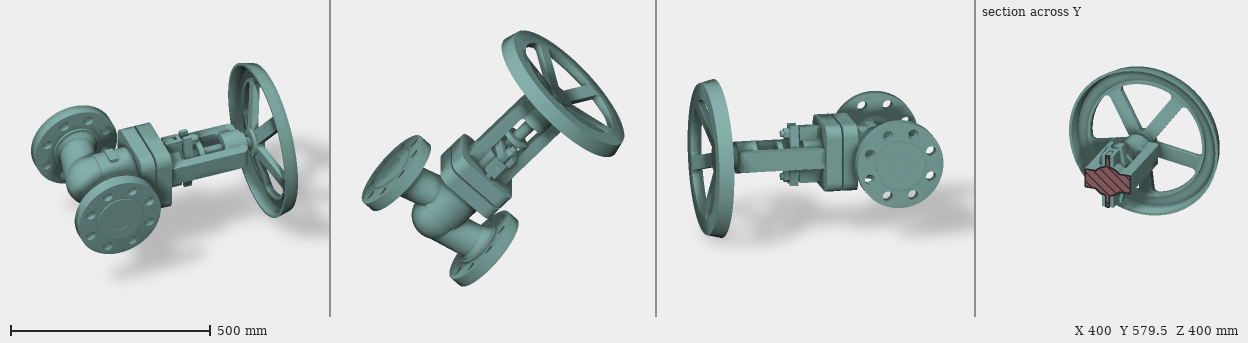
import cadquery as cq
import math


FACE_TO_FACE = 340.0
FLANGE_RADIUS = 110.0
FLANGE_THICKNESS = 34.0
RAISED_FACE_RADIUS = 61.0
RAISED_FACE_HEIGHT = 3.0
PORT_RADIUS = 33.0
PORT_RECESS = 1.0
BOLT_CIRCLE_RADIUS = 85.0
BOLT_HOLE_DIAMETER = 26.0
BOLT_HOLE_COUNT = 8
COLLAR_LENGTH = 6.0
NECK_LARGE_RADIUS = 54.0
NECK_SMALL_RADIUS = 34.0
NECK_LENGTH = 30.0

FLANGE_BACK = FACE_TO_FACE / 2 - FLANGE_THICKNESS

PIPE_RADIUS = 45.0
INLET_ANGLE = 13.0
OUTLET_ANGLE = 16.5
PIPE_START = 12.0
INLET_PIPE_LENGTH = 118.0
OUTLET_PIPE_LENGTH = 118.0

CHAMBER_RADIUS = 63.5
BOTTOM_RADIUS = 60.5
SPHERE_CENTER_Y = -16.5
CHAMBER_BOTTOM_Y = 1.5
NAMEPLATE_WIDTH = 43.0
NAMEPLATE_HEIGHT = 21.0
NAMEPLATE_Y = 41.5
NAMEPLATE_TOP_Z = 69.5

SQUARE_SIDE = 170.0
SQUARE_CORNER_RADIUS = 28.5
BODY_SQUARE_BOTTOM_Y = 91.5
BODY_SQUARE_TOP_Y = 127.5
JOINT_Y = 131.0
BONNET_SQUARE_BOTTOM_Y = 133.0
BONNET_SQUARE_TOP_Y = 171.5
BODY_SEAT_RADIUS = 50.0
BONNET_SPIGOT_RADIUS = 53.5

YOKE_WIDTH = 122.0
YOKE_THICKNESS = 50.0
YOKE_TOP_Y = 388.0
YOKE_TOP_RADIUS = 14.0
YOKE_FOOT_RADIUS = 5.0
WINDOW_WIDTH = 70.5
WINDOW_BOTTOM_Y = 217.5
WINDOW_TOP_Y = 338.0
WINDOW_CORNER_RADIUS = 10.0
BOSS_RADIUS = 40.0
BUSHING_RADIUS = 31.3
BUSHING_TOP_Y = 398.0

STEM_RADIUS = 15.3
STEM_COLLAR_RADIUS = 35.0
STEM_COLLAR_BOTTOM_Y = 270.5
STEM_COLLAR_TOP_Y = 282.5

GLAND_SLEEVE_RADIUS = 23.0
GLAND_PLATE_BOTTOM_Y = 230.5
GLAND_PLATE_TOP_Y = 251.0
GLAND_PLATE_HALF_LENGTH = 77.0
GLAND_PLATE_HALF_WIDTH = 31.7
GLAND_PLATE_END_HALF_WIDTH = 18.7
GLAND_SLOT_WIDTH = 19.0
EYE_BOLT_Z = 55.3
EYE_RADIUS = 16.0
EYE_WIDTH = 10.0
EYE_CENTER_Y = 201.0
FORK_WIDTH = 30.6
FORK_SLOT_WIDTH = 13.6
FORK_BOTTOM_Y = 181.5
FORK_TOP_Y = 225.0
HINGE_PIN_RADIUS = 6.0
BOLT_RADIUS = 8.4
BOLT_TOP_Y = 272.5
NUT_ACROSS_FLATS = 25.0
NUT_HEIGHT = 13.5

WHEEL_RADIUS = 200.0
WHEEL_FRONT_Y = 433.5
WHEEL_WIDTH = 36.0
RIM_TAPER = 9.0
RIM_WALL = 7.0
GROOVE_DEPTH = 29.5
LIP_OUTER_RADIUS = 157.0
LIP_INNER_RADIUS = 150.0
HUB_RADIUS = 35.0
HUB_FRONT_Y = 414.0
HUB_LENGTH = 28.0
SPOKE_COUNT = 5
SPOKE_WIDTH = 35.0
SPOKE_ROOT_RADIUS = 26.0
SPOKE_HUB_Y = 422.0
SPOKE_SLOPE = 0.27
SPOKE_CORNER_RADIUS = 11.5
SPOKE_LIP_RADIUS = 147.0

WHEEL_BACK_Y = WHEEL_FRONT_Y + WHEEL_WIDTH


def spoke_front_y(radius):
    """Y of the sloping front face of a spoke at a distance from the stem axis."""
    return SPOKE_HUB_Y + SPOKE_SLOPE * (radius - HUB_RADIUS)


def disc(radius, bottom_y, top_y, z=0.0):
    """Cylinder along Y between two heights."""
    axis = cq.Vector(0, 1, 0)
    return cq.Workplane(cq.Solid.makeCylinder(radius, top_y - bottom_y, cq.Vector(0, bottom_y, z), axis))


def block(width, bottom_y, top_y, depth, z=0.0):
    """Box centred on X = 0 between two heights along Y."""
    center = (0, (bottom_y + top_y) / 2, z)
    return cq.Workplane("XY").box(width, top_y - bottom_y, depth).translate(center)


def square_flange(bottom_y, top_y):
    """Square joint flange with rounded corners."""
    return block(SQUARE_SIDE, bottom_y, top_y, SQUARE_SIDE).edges("|Y").fillet(SQUARE_CORNER_RADIUS)


def pipe_flange():
    """Flange at the +X end with raised face, shallow port recess, bolt holes and tapered neck."""
    face = FACE_TO_FACE / 2
    shoulder = face - RAISED_FACE_HEIGHT
    collar_end = FLANGE_BACK - COLLAR_LENGTH
    profile = [
        (collar_end - NECK_LENGTH, 0),
        (collar_end - NECK_LENGTH, NECK_SMALL_RADIUS),
        (collar_end, NECK_LARGE_RADIUS),
        (collar_end, RAISED_FACE_RADIUS),
        (FLANGE_BACK, RAISED_FACE_RADIUS),
        (FLANGE_BACK, FLANGE_RADIUS),
        (shoulder, FLANGE_RADIUS),
        (shoulder, RAISED_FACE_RADIUS),
        (face, RAISED_FACE_RADIUS),
        (face, PORT_RADIUS),
        (face - PORT_RECESS, PORT_RADIUS),
        (face - PORT_RECESS, 0),
    ]
    flange = cq.Workplane("XY").polyline(profile).close().revolve(360, (0, 0, 0), (1, 0, 0))
    first_hole_angle = 180.0 / BOLT_HOLE_COUNT
    holes = (
        cq.Workplane("YZ", origin=(FLANGE_BACK, 0, 0))
        .polarArray(BOLT_CIRCLE_RADIUS, first_hole_angle, 360, BOLT_HOLE_COUNT)
        .circle(BOLT_HOLE_DIAMETER / 2)
        .extrude(FLANGE_THICKNESS)
    )
    return flange.cut(holes)


def slanted_pipe(side, angle, length):
    """Pipe from the back of a flange (side -1 or +1 along X) into the chamber, at an angle to X."""
    slope = math.radians(angle)
    direction = cq.Vector(-side * math.cos(slope), side * math.sin(slope), 0)
    start = cq.Vector(side * FLANGE_BACK, 0, 0) + direction * PIPE_START
    return cq.Workplane(cq.Solid.makeCylinder(PIPE_RADIUS, length, start, direction))


def chamber():
    """Upright valve chamber closed by a spherical bottom."""
    bottom = cq.Workplane("XY").sphere(BOTTOM_RADIUS).translate((0, SPHERE_CENTER_Y, 0))
    lower = disc(BOTTOM_RADIUS, SPHERE_CENTER_Y, CHAMBER_BOTTOM_Y)
    upper = disc(CHAMBER_RADIUS, CHAMBER_BOTTOM_Y, BODY_SQUARE_BOTTOM_Y)
    return upper.union(lower).union(bottom)


def nameplate():
    """Rectangular plate standing on the +Z side of the chamber."""
    plate_bottom = NAMEPLATE_Y - NAMEPLATE_HEIGHT / 2
    plate_top = NAMEPLATE_Y + NAMEPLATE_HEIGHT / 2
    return block(NAMEPLATE_WIDTH, plate_bottom, plate_top, NAMEPLATE_TOP_Z, NAMEPLATE_TOP_Z / 2)


def make_valve_body():
    """Lower body: chamber, slanted pipes, pipe flanges and square joint flange."""
    outlet_flange = pipe_flange()
    inlet_flange = outlet_flange.mirror("YZ")
    return (
        chamber()
        .union(slanted_pipe(-1, INLET_ANGLE, INLET_PIPE_LENGTH))
        .union(slanted_pipe(1, OUTLET_ANGLE, OUTLET_PIPE_LENGTH))
        .union(inlet_flange)
        .union(outlet_flange)
        .union(nameplate())
        .union(square_flange(BODY_SQUARE_BOTTOM_Y, BODY_SQUARE_TOP_Y))
        .union(disc(BODY_SEAT_RADIUS, BODY_SQUARE_TOP_Y, JOINT_Y))
    )


def yoke():
    """Flat yoke with a window, cylindrical bosses at both ends, a bushing and the bonnet flange."""
    plate = block(YOKE_WIDTH, BONNET_SQUARE_TOP_Y, YOKE_TOP_Y, YOKE_THICKNESS)
    plate = plate.faces(">Y").edges("|Z").fillet(YOKE_TOP_RADIUS)
    window = block(WINDOW_WIDTH, WINDOW_BOTTOM_Y, WINDOW_TOP_Y, YOKE_THICKNESS)
    plate = plate.cut(window.edges("|Z").fillet(WINDOW_CORNER_RADIUS))
    flange = square_flange(BONNET_SQUARE_BOTTOM_Y, BONNET_SQUARE_TOP_Y)
    return (
        plate.union(flange)
        .union(yoke_feet())
        .union(disc(BOSS_RADIUS, BONNET_SQUARE_TOP_Y, WINDOW_BOTTOM_Y))
        .union(disc(BOSS_RADIUS, WINDOW_TOP_Y, YOKE_TOP_Y))
        .union(disc(BUSHING_RADIUS, YOKE_TOP_Y, BUSHING_TOP_Y))
        .union(disc(BONNET_SPIGOT_RADIUS, JOINT_Y, BONNET_SQUARE_BOTTOM_Y))
    )


def yoke_feet():
    """Concave rounds where the outer sides of the yoke run into the bonnet flange."""
    side = YOKE_WIDTH / 2
    round_middle = YOKE_FOOT_RADIUS * (1 - math.sqrt(0.5))
    foot = (
        cq.Workplane("XY", origin=(0, 0, -YOKE_THICKNESS / 2))
        .moveTo(side, BONNET_SQUARE_TOP_Y)
        .lineTo(side + YOKE_FOOT_RADIUS, BONNET_SQUARE_TOP_Y)
        .threePointArc(
            (side + round_middle, BONNET_SQUARE_TOP_Y + round_middle),
            (side, BONNET_SQUARE_TOP_Y + YOKE_FOOT_RADIUS),
        )
        .close()
        .extrude(YOKE_THICKNESS)
    )
    return foot.union(foot.mirror("YZ"))


def stem():
    """Stem with its collar, from the gland up into the handwheel hub."""
    shaft = disc(STEM_RADIUS, WINDOW_BOTTOM_Y, HUB_FRONT_Y)
    return shaft.union(disc(STEM_COLLAR_RADIUS, STEM_COLLAR_BOTTOM_Y, STEM_COLLAR_TOP_Y))


def gland():
    """Gland sleeve and its plate, which narrows toward both ends and has an open slot for each bolt."""
    outline = [
        (GLAND_PLATE_HALF_WIDTH, 0),
        (GLAND_PLATE_END_HALF_WIDTH, GLAND_PLATE_HALF_LENGTH),
        (-GLAND_PLATE_END_HALF_WIDTH, GLAND_PLATE_HALF_LENGTH),
        (-GLAND_PLATE_HALF_WIDTH, 0),
        (-GLAND_PLATE_END_HALF_WIDTH, -GLAND_PLATE_HALF_LENGTH),
        (GLAND_PLATE_END_HALF_WIDTH, -GLAND_PLATE_HALF_LENGTH),
    ]
    plate = (
        cq.Workplane("XZ", origin=(0, GLAND_PLATE_TOP_Y, 0))
        .polyline(outline)
        .close()
        .extrude(GLAND_PLATE_TOP_Y - GLAND_PLATE_BOTTOM_Y)
    )
    for side in (-1, 1):
        slot_middle = side * (EYE_BOLT_Z + GLAND_PLATE_HALF_LENGTH) / 2
        slot_depth = GLAND_PLATE_HALF_LENGTH - EYE_BOLT_Z
        opening = block(GLAND_SLOT_WIDTH, GLAND_PLATE_BOTTOM_Y, GLAND_PLATE_TOP_Y, slot_depth, slot_middle)
        slot_round = disc(
            GLAND_SLOT_WIDTH / 2, GLAND_PLATE_BOTTOM_Y, GLAND_PLATE_TOP_Y, z=side * EYE_BOLT_Z
        )
        plate = plate.cut(opening).cut(slot_round)
    return plate.union(disc(GLAND_SLEEVE_RADIUS, WINDOW_BOTTOM_Y, GLAND_PLATE_BOTTOM_Y))


def eye_bolt(side):
    """Fork hinged on an eye lug, with bolt and hexagon nut, on the side -1 or +1 along Z."""
    z = side * EYE_BOLT_Z
    lug = block(EYE_WIDTH, BONNET_SQUARE_TOP_Y, EYE_CENTER_Y, 2 * EYE_RADIUS, z)
    hinge = cq.Workplane("YZ", origin=(0, EYE_CENTER_Y, z))
    eye = hinge.circle(EYE_RADIUS).extrude(EYE_WIDTH / 2, both=True)
    pin = hinge.circle(HINGE_PIN_RADIUS).extrude(FORK_SLOT_WIDTH / 2, both=True)
    slot_top = EYE_CENTER_Y + EYE_RADIUS
    fork = block(FORK_WIDTH, FORK_BOTTOM_Y, FORK_TOP_Y, 2 * EYE_RADIUS, z)
    fork = fork.cut(block(FORK_SLOT_WIDTH, FORK_BOTTOM_Y, slot_top, 2 * EYE_RADIUS, z))
    bolt = disc(BOLT_RADIUS, FORK_TOP_Y, BOLT_TOP_Y, z=z)
    across_corners = NUT_ACROSS_FLATS / math.cos(math.radians(30))
    nut = (
        cq.Workplane("XZ", origin=(0, GLAND_PLATE_TOP_Y, z))
        .transformed(rotate=(0, 0, 90))
        .polygon(6, across_corners)
        .extrude(-NUT_HEIGHT)
    )
    return lug.union(eye).union(pin).union(fork).union(bolt).union(nut)


def wheel_rim():
    """Channel-shaped rim: tapered outer wall, floor at the back and a straight inner lip."""
    lip_y = spoke_front_y(SPOKE_LIP_RADIUS)
    groove_y = WHEEL_FRONT_Y + GROOVE_DEPTH
    wall_radius = WHEEL_RADIUS - RIM_WALL
    groove_taper = RIM_TAPER * GROOVE_DEPTH / WHEEL_WIDTH
    profile = [
        (WHEEL_RADIUS, WHEEL_FRONT_Y),
        (WHEEL_RADIUS - RIM_TAPER, WHEEL_BACK_Y),
        (LIP_INNER_RADIUS, WHEEL_BACK_Y),
        (LIP_INNER_RADIUS, lip_y),
        (LIP_OUTER_RADIUS, lip_y),
        (LIP_OUTER_RADIUS, groove_y),
        (wall_radius - groove_taper, groove_y),
        (wall_radius, WHEEL_FRONT_Y),
    ]
    return cq.Workplane("XY").polyline(profile).close().revolve(360, (0, 0, 0), (0, 1, 0))


def spoke():
    """Sloping spoke along -Z, from inside the hub into the rim lip, with rounded corners at the lip."""
    tip = (LIP_INNER_RADIUS + LIP_OUTER_RADIUS) / 2
    tip_front = spoke_front_y(SPOKE_LIP_RADIUS)
    depth = WHEEL_BACK_Y - tip_front
    profile = [
        (spoke_front_y(SPOKE_ROOT_RADIUS), -SPOKE_ROOT_RADIUS),
        (tip_front, -SPOKE_LIP_RADIUS),
        (tip_front, -tip),
        (WHEEL_BACK_Y, -tip),
        (WHEEL_BACK_Y, -SPOKE_LIP_RADIUS),
        (spoke_front_y(SPOKE_ROOT_RADIUS) + depth, -SPOKE_ROOT_RADIUS),
    ]
    slab = cq.Workplane("YZ").polyline(profile).close().extrude(SPOKE_WIDTH * 2, both=True)

    half_width = SPOKE_WIDTH / 2
    arc_x = half_width + SPOKE_CORNER_RADIUS
    arc_distance = LIP_INNER_RADIUS - SPOKE_CORNER_RADIUS
    arc_z = -math.sqrt(arc_distance**2 - arc_x**2)
    lip_x = arc_x * LIP_INNER_RADIUS / arc_distance
    lip_z = arc_z * LIP_INNER_RADIUS / arc_distance
    middle_angle = (math.atan2(arc_z, arc_x) - math.pi) / 2
    middle_x = arc_x + SPOKE_CORNER_RADIUS * math.cos(middle_angle)
    middle_z = arc_z + SPOKE_CORNER_RADIUS * math.sin(middle_angle)
    outline = (
        cq.Workplane("XZ", origin=(0, WHEEL_BACK_Y, 0))
        .moveTo(-half_width, -SPOKE_ROOT_RADIUS)
        .lineTo(half_width, -SPOKE_ROOT_RADIUS)
        .lineTo(half_width, arc_z)
        .threePointArc((middle_x, middle_z), (lip_x, lip_z))
        .lineTo(lip_x, -tip)
        .lineTo(-lip_x, -tip)
        .lineTo(-lip_x, lip_z)
        .threePointArc((-middle_x, middle_z), (-half_width, arc_z))
        .close()
        .extrude(WHEEL_BACK_Y - HUB_FRONT_Y)
    )
    return outline.intersect(slab)


def handwheel():
    """Hub, evenly spaced spokes and the rim."""
    wheel = wheel_rim().union(disc(HUB_RADIUS, HUB_FRONT_Y, HUB_FRONT_Y + HUB_LENGTH))
    for index in range(SPOKE_COUNT):
        wheel = wheel.union(spoke().rotate((0, 0, 0), (0, 1, 0), index * 360.0 / SPOKE_COUNT))
    return wheel


def make_bonnet():
    """Upper body: yoke with bonnet flange, stem, gland, eye bolts and handwheel."""
    bonnet = yoke().union(stem()).union(gland())
    for side in (-1, 1):
        bonnet = bonnet.union(eye_bolt(side))
    return bonnet.union(handwheel())


valve_body = make_valve_body()
bonnet = make_bonnet()

result = cq.Compound.makeCompound([*valve_body.vals(), *bonnet.vals()])